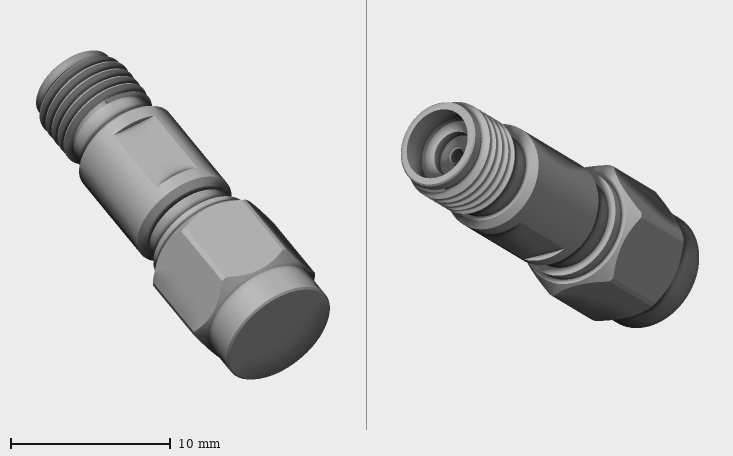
import cadquery as cq
import math

thread_start = 0.73
thread_end = 4.53
body_start = 5.85
body_end = 13.45
ring_start = 13.73
collar_start = 14.99
hex_start = 15.71
hex_end = 22.03
length = 24.2

barrel_diameter = 5.6
thread_root_diameter = 5.45
thread_diameter = 6.4
body_diameter = 7.0
collar_diameter = 7.05
neck_diameter = 4.72
ring_diameter = 6.0
sleeve_diameter = 7.65

mouth_chamfer = 0.1
body_chamfer = (0.39, 0.45)
sleeve_chamfer = 0.12

hex_across_flats = 7.95
hex_corner_diameter = 8.98
hex_chamfer_length = 0.75

flat_start = 7.17
flat_end = 12.2
flat_spacing = 6.3

thread_pitch = 0.7
thread_root_width = 0.63
thread_crest_width = 0.07
thread_overlap = 0.05
thread_lead_in = 0.44
thread_lead_out = 0.3
thread_taper_clearance = 0.05
helix_start = 0.65

bore_diameter = 4.58
bore_floor_diameter = 4.35
bore_chamfer_start = 1.72
bore_floor = 1.9
dielectric_hole_diameter = 2.93
dielectric_hole_floor = 2.57
contact_diameter = 1.19
contact_hole_diameter = 0.95
contact_tip = 2.28
contact_hole_depth = 0.97


def cylinder(start, end, diameter):
    """Cylinder on the X axis between two stations."""
    return cq.Workplane("YZ", origin=(start, 0, 0)).circle(diameter / 2).extrude(end - start)


def revolved(points):
    """Solid turned about the X axis from (station, radius) points, closed along the axis."""
    outline = [(points[0][0], 0)] + points + [(points[-1][0], 0)]
    return cq.Workplane("XY").polyline(outline).close().revolve(360, (0, 0), (1, 0))


def make_barrel():
    """Socket barrel, necked down to the thread root along the thread."""
    radius = barrel_diameter / 2
    root_radius = thread_root_diameter / 2
    return revolved([
        (0, radius - mouth_chamfer),
        (mouth_chamfer, radius),
        (thread_start, radius),
        (thread_start, root_radius),
        (thread_end, root_radius),
        (thread_end, radius),
        (body_start, radius),
    ])


def make_body():
    axial, radial = body_chamfer
    radius = body_diameter / 2
    body = revolved([
        (body_start, radius - radial),
        (body_start + axial, radius),
        (body_end - axial, radius),
        (body_end, radius - radial),
    ])
    between_flats = cq.Workplane("XY").box(flat_end - flat_start, body_diameter, flat_spacing)
    between_flats = between_flats.translate(((flat_start + flat_end) / 2, 0, 0))
    flatted_stretch = cylinder(flat_start, flat_end, body_diameter + 0.25)
    return body.cut(flatted_stretch.cut(between_flats))


def make_hex_nut():
    across_corners = hex_across_flats / math.cos(math.radians(30))
    prism = (
        cq.Workplane("YZ", origin=(hex_start, 0, 0))
        .polygon(6, across_corners)
        .extrude(hex_end - hex_start)
    )
    end_radius = sleeve_diameter / 2
    corner_radius = hex_corner_diameter / 2
    envelope = revolved([
        (hex_start, end_radius),
        (hex_start + hex_chamfer_length, corner_radius),
        (hex_end - hex_chamfer_length, corner_radius),
        (hex_end, end_radius),
    ])
    return prism.intersect(envelope)


def make_sleeve():
    radius = sleeve_diameter / 2
    return revolved([
        (hex_end, radius),
        (length - sleeve_chamfer, radius),
        (length, radius - sleeve_chamfer),
    ])


def make_thread():
    """Helical ridge, tapered into the barrel at both ends."""
    root_radius = thread_root_diameter / 2
    barrel_radius = barrel_diameter / 2
    crest_radius = thread_diameter / 2
    inner_radius = root_radius - thread_overlap
    helix_length = thread_end - helix_start
    helix = cq.Wire.makeHelix(thread_pitch, helix_length, root_radius)
    ridge = (
        cq.Workplane("XZ")
        .polyline([
            (inner_radius, -thread_root_width / 2),
            (crest_radius, -thread_crest_width / 2),
            (crest_radius, thread_crest_width / 2),
            (inner_radius, thread_root_width / 2),
        ])
        .close()
        .sweep(cq.Workplane(obj=helix), isFrenet=True)
    )
    ridge = ridge.rotate((0, 0, 0), (0, 1, 0), 90)
    ridge = ridge.translate((helix_start, 0, 0))
    taper_radius = crest_radius + thread_taper_clearance
    envelope = revolved([
        (thread_start, barrel_radius),
        (thread_start + thread_lead_in, taper_radius),
        (thread_end - thread_lead_out, taper_radius),
        (thread_end, barrel_radius),
    ])
    return ridge.intersect(envelope)


def make_socket():
    """Space inside the socket mouth, leaving the hollow contact standing."""
    bore = revolved([
        (0, bore_diameter / 2),
        (bore_chamfer_start, bore_diameter / 2),
        (bore_floor, bore_floor_diameter / 2),
    ])
    hole = cylinder(bore_floor, dielectric_hole_floor, dielectric_hole_diameter)
    contact = cylinder(contact_tip, dielectric_hole_floor, contact_diameter)
    contact_hole = cylinder(contact_tip, contact_tip + contact_hole_depth, contact_hole_diameter)
    return bore.union(hole).cut(contact).union(contact_hole)


result = (
    make_barrel()
    .union(make_body())
    .union(cylinder(body_end, ring_start, neck_diameter))
    .union(cylinder(ring_start, collar_start, ring_diameter))
    .union(cylinder(collar_start, hex_start, collar_diameter))
    .union(make_hex_nut())
    .union(make_sleeve())
    .union(make_thread())
    .cut(make_socket())
)